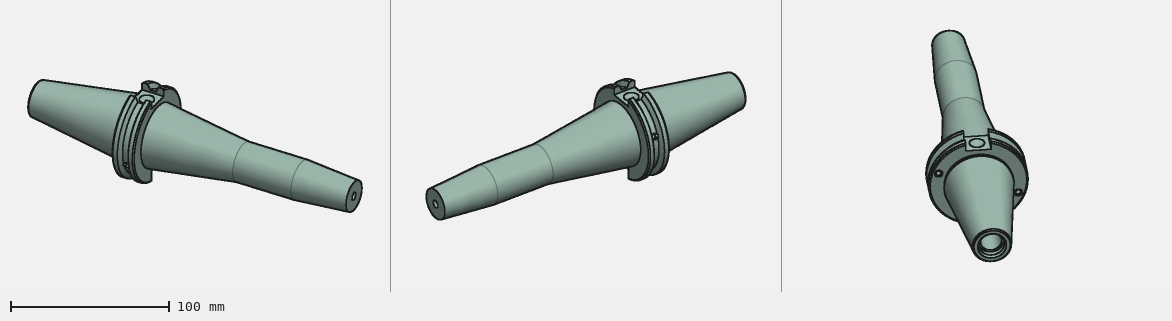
import cadquery as cq
import math

LENGTH = 228.2

TAPER_SLOPE = 7 / 48
TAPER_LENGTH = 68.5
TAPER_LARGE_DIAMETER = 44.5
TAPER_LARGE_RADIUS = TAPER_LARGE_DIAMETER / 2
TAPER_SMALL_RADIUS = TAPER_LARGE_RADIUS - TAPER_LENGTH * TAPER_SLOPE
TAPER_EDGE_CHAMFER = 1.0
TAPER_EDGE_DROP = 0.7
RELIEF_START = 69.6
RELIEF_DIAMETER = 43.5
RELIEF_RADIUS = RELIEF_DIAMETER / 2

FLANGE_START = 71.2
FLANGE_WIDTH = 15.7
FLANGE_END = FLANGE_START + FLANGE_WIDTH
FLANGE_DIAMETER = 63.2
FLANGE_RADIUS = FLANGE_DIAMETER / 2
FLANGE_CHAMFER = 1.0
GROOVE_CENTER = 79.2
GROOVE_FLOOR_RADIUS = 28.0
GROOVE_FLOOR_WIDTH = 4.0
GROOVE_TOP_WIDTH = 7.8

NOSE_ROOT_RADIUS = 22.0
NECK_START = 148.1
NECK_END = 190.1
NECK_RADIUS = 13.5
TIP_RADIUS = 10.5

MOUTH_DIAMETER = 18.3
COUNTERBORE_DIAMETER = 16.2
COUNTERBORE_DEPTH = 5.5
MOUTH_CHAMFER_DEPTH = 1.8
BORE_DIAMETER = 13.5
BORE_DEPTH = 32.0
NARROW_BORE_DIAMETER = 10.0
NARROW_BORE_END = 64.0
THROUGH_DIAMETER = 5.0
CONE_HALF_ANGLE = math.radians(59)

SLOT_WIDTH = 16.0
TOP_SLOT_FLOOR = 25.0
BOTTOM_SLOT_FLOOR = 22.4
DIMPLE_DIAMETER = 9.5

COOLANT_ANGLE = 20
COOLANT_RADIUS = 27.0
COOLANT_MOUTH_DIAMETER = 5.0
COOLANT_PASSAGE_DIAMETER = 3.2
OUTLET_DIAMETER = 4.0
OUTLET_BOTTOM_RADIUS = 25.5


def cone_depth(large_diameter, small_diameter):
    """Axial length of a drill-point cone between two diameters."""
    return (large_diameter - small_diameter) / 2 / math.tan(CONE_HALF_ANGLE)


def revolve_about_x(points):
    """Revolve (x, radius) points, closed along the axis, about X."""
    return cq.Workplane("XY").polyline(points).close().revolve(360, (0, 0, 0), (1, 0, 0))


def make_body():
    rim_radius = FLANGE_RADIUS - FLANGE_CHAMFER
    return revolve_about_x([
        (0, 0),
        (0, TAPER_SMALL_RADIUS - TAPER_EDGE_DROP),
        (TAPER_EDGE_CHAMFER, TAPER_SMALL_RADIUS + TAPER_EDGE_CHAMFER * TAPER_SLOPE),
        (TAPER_LENGTH, TAPER_LARGE_RADIUS),
        (RELIEF_START, RELIEF_RADIUS),
        (FLANGE_START, RELIEF_RADIUS),
        (FLANGE_START, rim_radius),
        (FLANGE_START + FLANGE_CHAMFER, FLANGE_RADIUS),
        (GROOVE_CENTER - GROOVE_TOP_WIDTH / 2, FLANGE_RADIUS),
        (GROOVE_CENTER - GROOVE_FLOOR_WIDTH / 2, GROOVE_FLOOR_RADIUS),
        (GROOVE_CENTER + GROOVE_FLOOR_WIDTH / 2, GROOVE_FLOOR_RADIUS),
        (GROOVE_CENTER + GROOVE_TOP_WIDTH / 2, FLANGE_RADIUS),
        (FLANGE_END - FLANGE_CHAMFER, FLANGE_RADIUS),
        (FLANGE_END, rim_radius),
        (FLANGE_END, NOSE_ROOT_RADIUS),
        (NECK_START, NECK_RADIUS),
        (NECK_END, NECK_RADIUS),
        (LENGTH, TIP_RADIUS),
        (LENGTH, 0),
    ])


def make_bore():
    narrow_start = BORE_DEPTH + cone_depth(BORE_DIAMETER, NARROW_BORE_DIAMETER)
    through_start = NARROW_BORE_END + cone_depth(NARROW_BORE_DIAMETER, THROUGH_DIAMETER)
    return revolve_about_x([
        (0, 0),
        (0, MOUTH_DIAMETER / 2),
        (MOUTH_CHAMFER_DEPTH, COUNTERBORE_DIAMETER / 2),
        (COUNTERBORE_DEPTH, COUNTERBORE_DIAMETER / 2),
        (COUNTERBORE_DEPTH, BORE_DIAMETER / 2),
        (BORE_DEPTH, BORE_DIAMETER / 2),
        (narrow_start, NARROW_BORE_DIAMETER / 2),
        (NARROW_BORE_END, NARROW_BORE_DIAMETER / 2),
        (through_start, THROUGH_DIAMETER / 2),
        (LENGTH, THROUGH_DIAMETER / 2),
        (LENGTH, 0),
    ])


def make_drive_slot(floor, side):
    """Slot outside the given floor height; side is +1 for top, -1 for bottom."""
    height = FLANGE_RADIUS
    return cq.Workplane("XY").box(FLANGE_WIDTH, SLOT_WIDTH, height).translate(
        (FLANGE_START + FLANGE_WIDTH / 2, 0, side * (floor + height / 2))
    )


def make_drilled_cone(large_diameter, small_diameter, start, direction):
    """Cone with a drill-point angle, narrowing from start along direction."""
    return cq.Workplane(cq.Solid.makeCone(
        large_diameter / 2, small_diameter / 2, cone_depth(large_diameter, small_diameter),
        pnt=cq.Vector(*start), dir=cq.Vector(*direction),
    ))


def make_dimple():
    """Conical dimple in the floor of the top slot."""
    return make_drilled_cone(DIMPLE_DIAMETER, 0, (GROOVE_CENTER, 0, TOP_SLOT_FLOOR), (0, 0, -1))


def make_coolant_passage():
    """Countersunk axial inlet and drilled radial outlet in the groove, along +Y."""
    inlet_start = (FLANGE_START, COOLANT_RADIUS, 0)
    mouth = make_drilled_cone(COOLANT_MOUTH_DIAMETER, COOLANT_PASSAGE_DIAMETER, inlet_start, (1, 0, 0))
    passage = cq.Workplane("YZ", origin=inlet_start).circle(
        COOLANT_PASSAGE_DIAMETER / 2
    ).extrude(GROOVE_CENTER - FLANGE_START)
    outlet_bottom = (GROOVE_CENTER, OUTLET_BOTTOM_RADIUS, 0)
    outlet = cq.Workplane("XZ", origin=outlet_bottom).circle(
        OUTLET_DIAMETER / 2
    ).extrude(OUTLET_BOTTOM_RADIUS - FLANGE_RADIUS)
    outlet_point = make_drilled_cone(OUTLET_DIAMETER, 0, outlet_bottom, (0, -1, 0))
    return mouth.union(passage).union(outlet).union(outlet_point)


result = make_body().cut(make_bore())
result = result.cut(make_drive_slot(TOP_SLOT_FLOOR, 1))
result = result.cut(make_drive_slot(BOTTOM_SLOT_FLOOR, -1))
result = result.cut(make_dimple())
for turn in (0, 180):
    result = result.cut(make_coolant_passage().rotate((0, 0, 0), (1, 0, 0), COOLANT_ANGLE + turn))